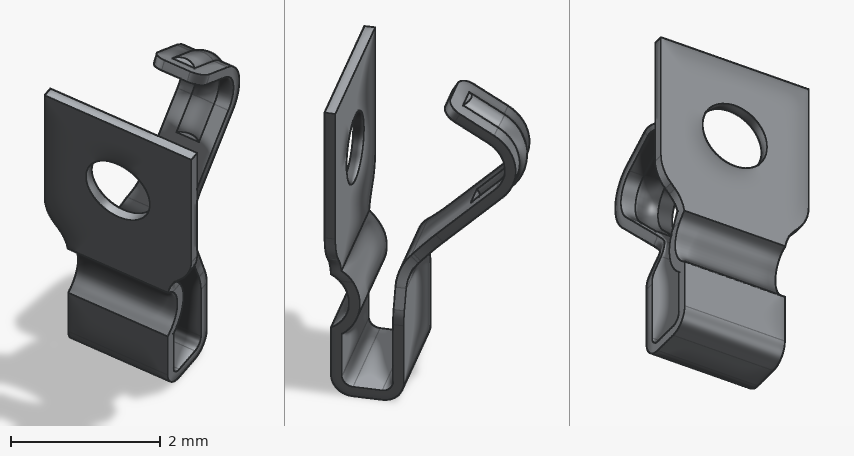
import cadquery as cq
import math

thickness = 0.15
clip_depth = 1.0
clip_mid_y = clip_depth / 2
base_bend_outer = 0.3
base_bend_inner = base_bend_outer - thickness
spring_width = 1.56
half_spring = spring_width / 2

plate_width = 2.3
plate_top = 4.6
hole_diameter = 1.0
hole_height = 3.4
shoulder_top = 2.65
shoulder_radius = 0.6
shoulder_angle = math.radians(42)

hinge_inner = 0.475
hinge_outer = hinge_inner + thickness
hinge_y = -0.226
hinge_z = 1.45

neck_bottom = 1.2
neck_angle = math.radians(20)
neck_lower_radius = 0.62
neck_upper_radius = 1.2
neck_bend_z = 1.7
neck_bend_outer = 0.45
neck_bend_inner = neck_bend_outer + thickness
neck_bend_y = clip_depth + neck_bend_outer
neck_bend_sweep = math.radians(45)
neck_stations = 7

half_arm = 0.4
incline_length = 1.61
tip_bend_inner = 0.45
tip_bend_outer = tip_bend_inner + thickness
tip_start_angle = -45
tip_end_angle = 60
tip_length = 0.74
tip_corner_radius = 0.2

half_rib = 0.176
rib_height = 0.055
rib_length = 0.55
rib_end_run = 0.05

taper_start = neck_bottom + neck_lower_radius * math.sin(neck_angle)
taper_start_half = half_spring - neck_lower_radius * (1 - math.cos(neck_angle))
taper_end_half = half_arm + neck_upper_radius * (1 - math.cos(neck_angle))
neck_bend_mid = (neck_bend_inner + neck_bend_outer) / 2
neck_bend_length = neck_bend_mid * neck_bend_sweep
neck_bend_end = neck_bend_z + neck_bend_length

sin_incline = math.sin(neck_bend_sweep)
cos_incline = math.cos(neck_bend_sweep)
bend_radii = neck_bend_inner + tip_bend_inner
tip_y = neck_bend_y - bend_radii * cos_incline + incline_length * sin_incline
tip_z = neck_bend_z + bend_radii * sin_incline + incline_length * cos_incline


def taper_half_width(distance):
    """Half width of the straight taper at a height measured along the sheet."""
    return taper_start_half - (distance - taper_start) * math.tan(neck_angle)


def plate_outline():
    """Front outline: wide plate narrowing through S-curves to the spring width."""
    half_plate = plate_width / 2
    arc_inset = shoulder_radius * (1 - math.cos(shoulder_angle))
    arc_drop = shoulder_radius * math.sin(shoulder_angle)
    slope_drop = (half_plate - half_spring - 2 * arc_inset) / math.tan(shoulder_angle)
    slope_top = shoulder_top - arc_drop
    slope_bottom = slope_top - slope_drop
    return (
        cq.Workplane("XZ")
        .moveTo(0, plate_top)
        .lineTo(half_plate, plate_top)
        .lineTo(half_plate, shoulder_top)
        .tangentArcPoint((half_plate - arc_inset, slope_top), relative=False)
        .lineTo(half_spring + arc_inset, slope_bottom)
        .tangentArcPoint((half_spring, slope_bottom - arc_drop), relative=False)
        .lineTo(half_spring, 0)
        .lineTo(0, 0)
        .mirrorY()
        .extrude(clip_depth, both=True)
    )


def front_half():
    """Plate, hinge bulge, front leg and the front half of the base."""
    front_chord = math.sqrt(hinge_inner**2 - hinge_y**2)
    back_chord = math.sqrt(hinge_outer**2 - (thickness - hinge_y) ** 2)
    profile = (
        cq.Workplane("YZ")
        .moveTo(0, plate_top)
        .lineTo(0, hinge_z + front_chord)
        .threePointArc((hinge_y + hinge_inner, hinge_z), (0, hinge_z - front_chord))
        .lineTo(0, base_bend_outer)
        .radiusArc((base_bend_outer, 0), -base_bend_outer)
        .lineTo(clip_mid_y, 0)
        .lineTo(clip_mid_y, thickness)
        .lineTo(base_bend_outer, thickness)
        .radiusArc((thickness, base_bend_outer), base_bend_inner)
        .lineTo(thickness, hinge_z - back_chord)
        .threePointArc((hinge_y + hinge_outer, hinge_z), (thickness, hinge_z + back_chord))
        .lineTo(thickness, plate_top)
        .close()
        .extrude(plate_width / 2, both=True)
    )
    hole = (
        cq.Workplane("XZ").center(0, hole_height).circle(hole_diameter / 2).extrude(clip_depth, both=True)
    )
    return profile.intersect(plate_outline()).cut(hole)


def rear_half():
    """Rear half of the base and the rear leg up to the neck bend."""
    profile = (
        cq.Workplane("YZ")
        .moveTo(clip_mid_y, 0)
        .lineTo(clip_depth - base_bend_outer, 0)
        .radiusArc((clip_depth, base_bend_outer), -base_bend_outer)
        .lineTo(clip_depth, neck_bend_z)
        .lineTo(clip_depth - thickness, neck_bend_z)
        .lineTo(clip_depth - thickness, base_bend_outer)
        .radiusArc((clip_depth - base_bend_outer, thickness), base_bend_inner)
        .lineTo(clip_mid_y, thickness)
        .close()
        .extrude(half_spring, both=True)
    )
    outline = (
        cq.Workplane("XZ")
        .moveTo(0, 0)
        .lineTo(half_spring, 0)
        .lineTo(half_spring, neck_bottom)
        .tangentArcPoint((taper_start_half, taper_start), relative=False)
        .lineTo(taper_half_width(neck_bend_z), neck_bend_z)
        .lineTo(0, neck_bend_z)
        .mirrorY()
        .extrude(-clip_depth)
    )
    return profile.intersect(outline)


def neck_bend():
    """Bent part of the neck, tapering steadily along its developed length."""
    sections = []
    for station in range(neck_stations):
        angle = neck_bend_sweep * station / (neck_stations - 1)
        half_width = taper_half_width(neck_bend_z + neck_bend_mid * angle)
        plane = cq.Plane(
            origin=(0, neck_bend_y, neck_bend_z),
            xDir=(1, 0, 0),
            normal=(0, -math.sin(angle), -math.cos(angle)),
        )
        section = cq.Workplane(plane).center(0, neck_bend_mid).rect(2 * half_width, thickness)
        sections.append(section.wires().val())
    return cq.Workplane(cq.Solid.makeLoft(sections))


def neck_runout():
    """Inclined part of the neck, curving in to the width of the arm."""
    taper_length = (taper_half_width(neck_bend_end) - taper_end_half) / math.tan(neck_angle)
    runout_end = taper_length + neck_upper_radius * math.sin(neck_angle)
    outer_face = cq.Plane(
        origin=(
            0,
            neck_bend_y - neck_bend_outer * cos_incline,
            neck_bend_z + neck_bend_outer * sin_incline,
        ),
        xDir=(1, 0, 0),
        normal=(0, -cos_incline, sin_incline),
    )
    return (
        cq.Workplane(outer_face)
        .lineTo(taper_half_width(neck_bend_end), 0)
        .lineTo(taper_end_half, taper_length)
        .tangentArcPoint((half_arm, runout_end), relative=False)
        .lineTo(0, runout_end)
        .mirrorY()
        .extrude(thickness)
    )


def tip_point(radius, angle, along=0.0):
    """Point (y, z) at a polar position about the top bend, moved along the tangent there."""
    turn = math.radians(angle)
    y = tip_y + radius * math.cos(turn) - along * math.sin(turn)
    z = tip_z + radius * math.sin(turn) + along * math.cos(turn)
    return (y, z)


def tip_band(inner, outer, half_width, inner_lengths, outer_lengths):
    """Band around the top bend; each length pair is the straight run before and after the bend."""
    middle_angle = (tip_start_angle + tip_end_angle) / 2
    return (
        cq.Workplane("YZ")
        .moveTo(*tip_point(outer, tip_start_angle, -outer_lengths[0]))
        .lineTo(*tip_point(outer, tip_start_angle))
        .threePointArc(tip_point(outer, middle_angle), tip_point(outer, tip_end_angle))
        .lineTo(*tip_point(outer, tip_end_angle, outer_lengths[1]))
        .lineTo(*tip_point(inner, tip_end_angle, inner_lengths[1]))
        .lineTo(*tip_point(inner, tip_end_angle))
        .threePointArc(tip_point(inner, middle_angle), tip_point(inner, tip_start_angle))
        .lineTo(*tip_point(inner, tip_start_angle, -inner_lengths[0]))
        .close()
        .extrude(half_width, both=True)
    )


def arm():
    """Inclined arm, top bend and free tip with rounded corners."""
    lengths = (incline_length, tip_length)
    band = tip_band(tip_bend_inner, tip_bend_outer, half_arm, lengths, lengths)
    tip_middle = tip_point((tip_bend_inner + tip_bend_outer) / 2, tip_end_angle, tip_length)
    corners = [cq.Vector(side * half_arm, *tip_middle) for side in (-1, 1)]
    corner_edges = [
        edge
        for edge in band.edges().vals()
        if any((edge.Center() - corner).Length < thickness / 2 for corner in corners)
    ]
    return band.newObject(corner_edges).fillet(tip_corner_radius)


def arched_ridge(base_radius):
    """Arc-topped ridge standing on a sheet face around the top bend, with sloped ends."""

    def section(angle):
        turn = math.radians(angle)
        plane = cq.Plane(
            origin=(0, *tip_point(base_radius, angle)),
            xDir=(1, 0, 0),
            normal=(0, -math.sin(turn), math.cos(turn)),
        )
        return (
            cq.Workplane(plane)
            .moveTo(-half_rib, 0)
            .threePointArc((0, rib_height), (half_rib, 0))
            .close()
        )

    bend_sweep = tip_end_angle - tip_start_angle
    ridge = (
        section(tip_start_angle)
        .revolve(bend_sweep, (0, -base_radius), (1, -base_radius))
        .union(section(tip_start_angle).extrude(-rib_length))
        .union(section(tip_end_angle).extrude(rib_length))
    )
    top_length = rib_length - rib_end_run
    envelope = tip_band(
        base_radius,
        base_radius + rib_height,
        half_rib,
        (rib_length, rib_length),
        (top_length, top_length),
    )
    return ridge.intersect(envelope)


rib_lengths = (rib_length, rib_length)
rib_slot = tip_band(tip_bend_inner, tip_bend_outer, half_rib, rib_lengths, rib_lengths)
rib = rib_slot.union(arched_ridge(tip_bend_outer)).cut(arched_ridge(tip_bend_inner))

clip = (
    front_half()
    .union(rear_half())
    .union(neck_bend())
    .union(neck_runout())
    .union(arm())
    .cut(rib_slot)
)

result = cq.Compound.makeCompound([clip.solids().val(), rib.solids().val()])